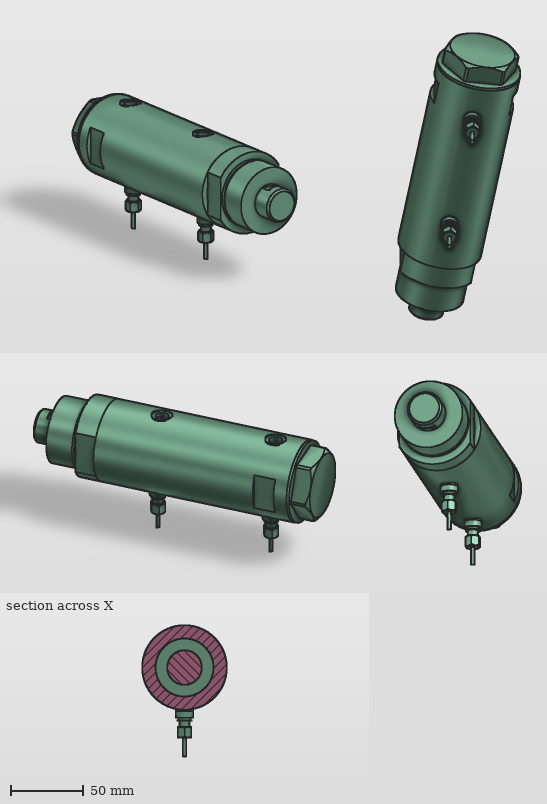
import cadquery as cq
import math

total_length = 213.5

half_hex_angle = math.pi / 6

barrel_radius = 29.5
barrel_start = 15.0
barrel_end = 160.3
bore_radius = 20.0
barrel_flat_start = 24.5
barrel_flat_length = 15.8
across_barrel_flats = 52.7

port_count = 2
first_port_x = 35.5
port_spacing = 85.5
port_radius = 9.5 / 2
spotface_radius = 14.7 / 2
spotface_z = 28.2

cap_flange_start = 13.0
cap_flange_radius = 29.2
cap_spigot_end = 38.5
hex_across_flats = 46.0
hex_corner_radius = 26.0
hex_face_radius = 22.8
hex_chamfer_length = 2.3
hex_turn = -7.0

head_end = 175.9
across_head_flats = 50.0
head_spigot_radius = 25.5
head_spigot_start = 122.3
neck_radius = 48.0 / 2
neck_end = 198.3
groove_radius = 22.8
groove_bevel = 1.0
groove_width = 3.0

rod_radius = 24.1 / 2
piston_length = 34.1
quarter_turn = 90
across_wrench_flats = 21.0
wrench_flat_length = 7.0
rod_chamfer = 1.5

sensor_count = 2
first_sensor_x = 38.8
sensor_spacing = 85.2
sensor_seat_z = -30.5
collar_radius = 12.2 / 2
collar_end_z = -34.8
step_radius = 4.5
rim_radius = 5.0
rim_start_z = -36.5
rim_end_z = -37.0
stem_radius = 3.6
nut_start_z = -41.0
nut_end_z = -48.9
nut_across_flats = 9.5
nut_chamfer = 1.0
cable_radius = 1.3
cable_end_z = -61.9
cable_slant = 1.0

port_positions = [first_port_x + i * port_spacing for i in range(port_count)]
sensor_positions = [first_sensor_x + i * sensor_spacing for i in range(sensor_count)]


def rod_along_x(start, end, radius):
    """Cylinder on the X axis."""
    return cq.Workplane("YZ", origin=(start, 0, 0)).circle(radius).extrude(end - start)


def rod_along_z(x, start, end, radius):
    """Vertical cylinder centred at x on the middle plane."""
    return cq.Workplane("XY", origin=(x, 0, start)).circle(radius).extrude(end - start)


def turned_about_x(profile):
    """Solid of revolution about X from (x, radius) points."""
    return cq.Workplane("XY").polyline(profile).close().revolve(360, (0, 0, 0), (1, 0, 0))


def block_beyond(start, length, offset, side):
    """Block covering everything further out along Y than the offset, on one side."""
    depth = barrel_radius
    centre = (start + length / 2, side * (offset + depth / 2), 0)
    return cq.Workplane("XY", origin=centre).box(length, depth, 2 * barrel_radius)


def make_barrel():
    """Tube with sensor seats below, counterbored ports above and a flat on each side."""
    barrel = rod_along_x(barrel_start, barrel_end, barrel_radius)
    for x in sensor_positions:
        barrel = barrel.union(rod_along_z(x, sensor_seat_z, -bore_radius, collar_radius))
    barrel = barrel.cut(rod_along_x(barrel_start, barrel_end, bore_radius))
    barrel = barrel.cut(rod_along_x(head_spigot_start, barrel_end, head_spigot_radius))
    for x in port_positions:
        barrel = barrel.cut(rod_along_z(x, 0, barrel_radius, port_radius))
        barrel = barrel.cut(rod_along_z(x, spotface_z, barrel_radius, spotface_radius))
    for side in (-1, 1):
        barrel = barrel.cut(block_beyond(barrel_flat_start, barrel_flat_length, across_barrel_flats / 2, side))
    return barrel


def make_cap():
    """Chamfered hexagon, flange and a spigot that plugs the bore."""
    corner_diameter = hex_across_flats / math.cos(half_hex_angle)
    hexagon = cq.Workplane("YZ").polygon(6, corner_diameter).extrude(cap_flange_start)
    hexagon = hexagon.rotate((0, 0, 0), (1, 0, 0), hex_turn)
    corner_rounding = turned_about_x([
        (0, 0),
        (0, hex_face_radius),
        (hex_chamfer_length, hex_corner_radius),
        (cap_flange_start, hex_corner_radius),
        (cap_flange_start, 0),
    ])
    flange = rod_along_x(cap_flange_start, barrel_start, cap_flange_radius)
    spigot = rod_along_x(barrel_start, cap_spigot_end, bore_radius)
    return hexagon.intersect(corner_rounding).union(flange).union(spigot)


def make_head():
    """Guide with a spigot inside the barrel, wrench flats and a grooved neck."""
    head = turned_about_x([
        (head_spigot_start, rod_radius),
        (head_spigot_start, head_spigot_radius),
        (barrel_end, head_spigot_radius),
        (barrel_end, barrel_radius),
        (head_end, barrel_radius),
        (head_end, neck_radius),
        (head_end + groove_bevel, groove_radius),
        (head_end + groove_width - groove_bevel, groove_radius),
        (head_end + groove_width, neck_radius),
        (neck_end, neck_radius),
        (neck_end, rod_radius),
    ])
    for side in (-1, 1):
        head = head.cut(block_beyond(barrel_end, head_end - barrel_end, across_head_flats / 2, side))
    return head


def make_piston_rod():
    """Piston resting on the cap spigot, with its rod passing through the head."""
    piston = rod_along_x(cap_spigot_end, cap_spigot_end + piston_length, bore_radius)
    rod = rod_along_x(cap_spigot_end, total_length, rod_radius).faces(">X").chamfer(rod_chamfer)
    for side in (-1, 1):
        flat = block_beyond(neck_end, wrench_flat_length, across_wrench_flats / 2, side)
        rod = rod.cut(flat.rotate((0, 0, 0), (1, 0, 0), quarter_turn))
    return rod.union(piston)


def make_nut(x):
    """Hexagonal nut with chamfered corners, one flat facing -Y."""
    corner_diameter = nut_across_flats / math.cos(half_hex_angle)
    base = cq.Workplane("XY", origin=(x, 0, nut_end_z))
    nut = base.polygon(6, corner_diameter).extrude(nut_start_z - nut_end_z)
    rounding = rod_along_z(x, nut_end_z, nut_start_z, corner_diameter / 2)
    return nut.intersect(rounding.faces("|Z").chamfer(nut_chamfer))


def make_cable(x):
    """Cable stub cut off at a slant, longer on its +X side."""
    cable = rod_along_z(x, nut_end_z, cable_end_z, cable_radius)
    trim = (
        cq.Workplane("XZ", origin=(x, cable_radius, 0))
        .moveTo(-cable_radius, cable_end_z)
        .lineTo(cable_radius, cable_end_z)
        .lineTo(-cable_radius, cable_end_z + cable_slant)
        .close()
        .extrude(2 * cable_radius)
    )
    return cable.cut(trim)


def make_sensor(x):
    """Sensor hanging from its seat: collar, rimmed step, stem, nut and cable stub."""
    sensor = rod_along_z(x, sensor_seat_z, collar_end_z, collar_radius)
    sensor = sensor.union(rod_along_z(x, collar_end_z, rim_start_z, step_radius))
    sensor = sensor.union(rod_along_z(x, rim_start_z, rim_end_z, rim_radius))
    sensor = sensor.union(rod_along_z(x, rim_end_z, nut_start_z, stem_radius))
    sensor = sensor.union(make_nut(x))
    return sensor.union(make_cable(x))


barrel = make_barrel()
cap = make_cap()
head = make_head()
piston_rod = make_piston_rod()
sensors = [make_sensor(x) for x in sensor_positions]

result = cq.Compound.makeCompound([
    barrel.val(),
    cap.val(),
    head.val(),
    piston_rod.val(),
    *[sensor.val() for sensor in sensors],
])